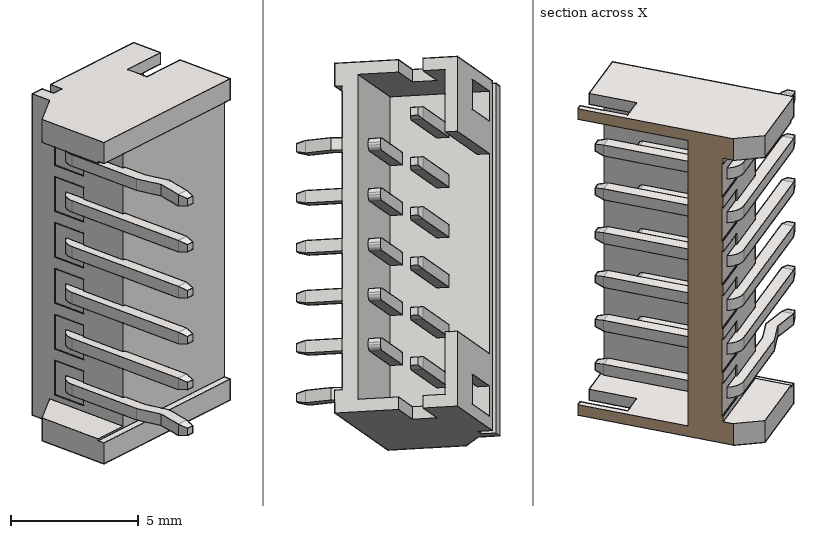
import cadquery as cq


housing_width = 5.0
housing_depth = 7.6
housing_length = 14.0
half_length = housing_length / 2

base_back = 1.5
ear_thickness = 1.0
ear_root_x = 0.9
ear_tip_x = 1.8
side_recess_depth = 0.3
side_lip_thickness = 0.92
side_x = housing_width - side_recess_depth

groove_depth = 0.6
groove_start = 2.1
groove_end = 2.6

wall = 0.5
cavity_floor = 3.0
cavity_far_x = 4.05
cavity_half_length = half_length - wall
opening_half_length = 4.0

window_top = 5.4
window_height = 1.2
end_slot_width = 1.0
end_slot_depth = 2.0

rib_count = 5
rib_width = 0.5
rib_height = 0.5
rib_top = 6.15
rib_corner_radius = 0.2

pin_count = 6
pitch = 2.0
pin_size = 0.5
pin_x = 1.9
pin_top = 7.1
leg_y = 1.35
leg_end = 8.3
tip_length = 0.4
tip_size = 0.32
bend_inner_radius = 0.25
bend_outer_radius = bend_inner_radius + pin_size
pocket_size = 1.5
pocket_depth = 0.05

kink_start = 5.75
kink_peak = 6.8
kink_height = 0.25


def block(x0, x1, y0, y1, z0, z1):
    """Box given by its limits along each axis."""
    return cq.Workplane("XY").box(x1 - x0, y1 - y0, z1 - z0, centered=False).translate((x0, y0, z0))


def centred_positions(count):
    """Z positions of a row at the pin pitch, centred on the housing."""
    return [(i - (count - 1) / 2) * pitch for i in range(count)]


def make_housing_blank():
    outline = [
        (0, housing_depth),
        (0, groove_end),
        (groove_depth, groove_end),
        (groove_depth, groove_start),
        (0, groove_start),
        (0, base_back),
        (ear_root_x, base_back),
        (ear_tip_x, 0),
        (housing_width, 0),
        (housing_width, housing_depth),
    ]
    blank = cq.Workplane("XY").polyline(outline).close().extrude(half_length, both=True)
    ear_gap = half_length - ear_thickness
    side_gap = half_length - side_lip_thickness
    between_ears = block(0, side_x, 0, base_back, -ear_gap, ear_gap)
    side_recess = block(side_x, housing_width, 0, housing_depth, -side_gap, side_gap)
    return blank.cut(between_ears).cut(side_recess)


def cut_cavity(housing):
    cavity = block(
        wall, cavity_far_x, cavity_floor, housing_depth, -cavity_half_length, cavity_half_length
    )
    front_opening = block(
        0, wall, cavity_floor, housing_depth, -opening_half_length, opening_half_length
    )
    end_slots = block(
        pin_x - end_slot_width / 2,
        pin_x + end_slot_width / 2,
        housing_depth - end_slot_depth,
        housing_depth,
        -half_length,
        half_length,
    )
    housing = housing.cut(cavity).cut(front_opening).cut(end_slots)
    window_start = cavity_half_length - window_height
    window = block(0, wall, cavity_floor, window_top, window_start, cavity_half_length)
    return housing.cut(window).cut(window.mirror("XY"))


def add_ribs(housing):
    for z in centred_positions(rib_count):
        rib = block(
            cavity_far_x - rib_height,
            cavity_far_x,
            cavity_floor,
            rib_top,
            z - rib_width / 2,
            z + rib_width / 2,
        )
        rib = rib.faces(">Y").edges("|X").fillet(rib_corner_radius)
        housing = housing.union(rib)
    return housing


def cut_pin_pockets(housing):
    half = pocket_size / 2
    for z in centred_positions(pin_count):
        pocket = block(
            pin_x - half, pin_x + half, base_back, base_back + pocket_depth, z - half, z + half
        )
        housing = housing.cut(pocket)
    return housing


def make_tip(plane):
    """Tapered pin end, built on the square end face of the pin."""
    return (
        cq.Workplane(plane)
        .rect(pin_size, pin_size)
        .workplane(offset=tip_length)
        .rect(tip_size, tip_size)
        .loft()
    )


def make_pin(kinked):
    half = pin_size / 2
    post_near = pin_x - half
    post_far = pin_x + half
    post_end = pin_top - tip_length
    leg_outer = leg_y - half
    leg_inner = leg_y + half
    leg_tip_start = leg_end - tip_length
    bend_x = post_near + bend_outer_radius
    bend_y = leg_outer + bend_outer_radius

    path = cq.Workplane("XY").moveTo(post_near, post_end).lineTo(post_near, bend_y)
    path = path.radiusArc((bend_x, leg_outer), -bend_outer_radius)
    if kinked:
        path = path.lineTo(kink_start, leg_outer).lineTo(kink_peak, leg_outer + kink_height)
    path = path.lineTo(leg_tip_start, leg_outer).lineTo(leg_tip_start, leg_inner)
    if kinked:
        path = path.lineTo(kink_peak, leg_inner + kink_height).lineTo(kink_start, leg_inner)
    path = path.lineTo(bend_x, leg_inner)
    path = path.radiusArc((post_far, bend_y), bend_inner_radius)
    pin = path.lineTo(post_far, post_end).close().extrude(half, both=True)

    post_tip = make_tip(cq.Plane((pin_x, post_end, 0), (1, 0, 0), (0, 1, 0)))
    leg_tip = make_tip(cq.Plane((leg_tip_start, leg_y, 0), (0, 1, 0), (1, 0, 0)))
    return pin.union(post_tip).union(leg_tip)


def add_pins(housing):
    positions = centred_positions(pin_count)
    for z in positions:
        is_end_pin = z in (positions[0], positions[-1])
        housing = housing.union(make_pin(is_end_pin).translate((0, 0, z)))
    return housing


housing = make_housing_blank()
housing = cut_cavity(housing)
housing = add_ribs(housing)
housing = cut_pin_pockets(housing)
result = add_pins(housing)